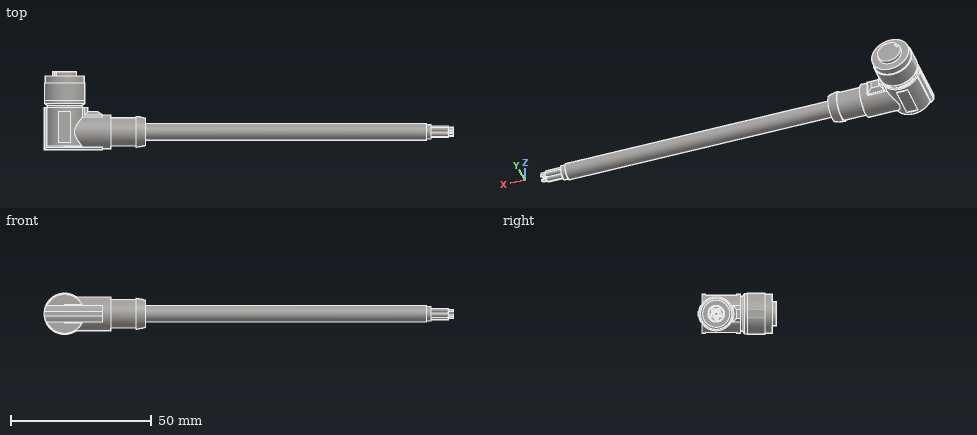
import cadquery as cq
import math


OVERALL_LENGTH = 146.2

NUT_RADIUS = 7.39
NUT_LIP_RADIUS = 7.0
NUT_RING_RADIUS = 7.24
NUT_FLAT_WIDTH = 3.0
NECK_RADIUS = 6.3
NECK_Y = 8.8
NUT_CONE_Y = 9.5
NUT_RING_Y = 10.1
NUT_GRIP_Y = 11.3
NUT_LIP_Y = 17.4
NUT_FACE_Y = 20.0
INSERT_RADIUS = 4.31
INSERT_FACE_Y = 21.5
KEYWAY_WIDTH = 1.3
KEYWAY_DEPTH = 0.9
KEYWAY_ANGLE = 140

BODY_RADIUS = 7.0
BODY_FRONT_Y = -5.1
ARM_RADIUS = 6.07
ARM_END_X = 16.5
LABEL_WIDTH = 4.2
LABEL_START_Y = -3.8
LABEL_END_Y = 7.3

BAND_WIDTH = 5.8
BAND_RISE = 0.1
BAND_END_X = 13.6
RIB_WIDTH = 1.5
RIB_OUTER_X = -NUT_RADIUS
RIB_OUTER_Y = -6.5
BAND_SIDE_RADIUS = NUT_RADIUS - BAND_RISE
BAND_FRONT_RADIUS = -RIB_OUTER_Y - BAND_RISE

WEB_ARM_Y = 7.3
WEB_BARREL_X = 8.3
WEB_BEVEL = 1.3
WEB_SLOPE_LENGTH = 1.9

SLEEVE_RADIUS = 5.1
COLLAR_RADIUS = 5.5
COLLAR_BULGE = 0.1
COLLAR_START_X = 25.5
COLLAR_END_X = 29.0
COLLAR_END_RADIUS = 4.8
CABLE_RADIUS = 3.0
CABLE_END_X = 129.1
INNER_SHEATH_RADIUS = 2.6
INNER_SHEATH_END_X = 130.9
WIRE_COUNT = 5
WIRE_RADIUS = 0.79
WIRE_CIRCLE_RADIUS = 1.37
WIRE_START_ANGLE = 57
WIRE_END_X = 137.0
STRAND_RADIUS = 0.37
STRAND_END_X = OVERALL_LENGTH - NUT_RADIUS


def cylinder_y(radius, start, end):
    return cq.Workplane("XZ", origin=(0, start, 0)).circle(radius).extrude(start - end)


def cylinder_x(radius, start, end, y=0.0, z=0.0):
    return cq.Workplane("YZ", origin=(start, y, z)).circle(radius).extrude(end - start)


def block(x_range, y_range, z_range):
    """Box given by its lower and upper limits on each axis."""
    sizes = [high - low for low, high in (x_range, y_range, z_range)]
    corner = (x_range[0], y_range[0], z_range[0])
    return cq.Workplane("XY", origin=corner).box(*sizes, centered=False)


def centred(width):
    return (-width / 2, width / 2)


def flat_distance(radius, width):
    """Distance from the axis to a flat of the given width cut on a cylinder."""
    return math.sqrt(radius**2 - (width / 2) ** 2)


def make_nut():
    profile = [
        (0, NECK_Y),
        (NECK_RADIUS, NECK_Y),
        (NECK_RADIUS, NUT_CONE_Y),
        (NUT_RING_RADIUS, NUT_RING_Y),
        (NUT_RING_RADIUS, NUT_GRIP_Y),
        (NUT_RADIUS, NUT_GRIP_Y),
        (NUT_RADIUS, NUT_LIP_Y),
        (NUT_LIP_RADIUS, NUT_LIP_Y),
        (NUT_LIP_RADIUS, NUT_FACE_Y),
        (0, NUT_FACE_Y),
    ]
    nut = cq.Workplane("XY").polyline(profile).close().revolve(360, (0, 0, 0), (0, 1, 0))
    flat_x = flat_distance(NUT_RADIUS, NUT_FLAT_WIDTH)
    for x_range in ((-NUT_RADIUS, -flat_x), (flat_x, NUT_RADIUS)):
        nut = nut.cut(block(x_range, (NUT_GRIP_Y, NUT_LIP_Y), centred(NUT_FLAT_WIDTH)))
    return nut


def make_insert():
    insert = cylinder_y(INSERT_RADIUS, NUT_FACE_Y, INSERT_FACE_Y)
    keyway = block(
        (INSERT_RADIUS - KEYWAY_DEPTH, INSERT_RADIUS),
        (NUT_FACE_Y, INSERT_FACE_Y),
        centred(KEYWAY_WIDTH),
    )
    return insert.cut(keyway.rotate((0, 0, 0), (0, 1, 0), -KEYWAY_ANGLE))


def make_elbow():
    barrel = cylinder_y(BODY_RADIUS, BODY_FRONT_Y, NECK_Y)
    label_z = flat_distance(BODY_RADIUS, LABEL_WIDTH)
    for z_range in ((label_z, BODY_RADIUS), (-BODY_RADIUS, -label_z)):
        barrel = barrel.cut(block(centred(LABEL_WIDTH), (LABEL_START_Y, LABEL_END_Y), z_range))
    return barrel.union(cylinder_x(ARM_RADIUS, 0, ARM_END_X))


def make_band():
    """Raised band down the back of the barrel and along the front of the arm, mitred at the corner."""
    side = cylinder_y(BAND_SIDE_RADIUS, -BAND_FRONT_RADIUS, NECK_Y)
    arm_sweep = cylinder_x(BAND_FRONT_RADIUS, -NUT_RADIUS, 0)
    barrel_sweep = block((-NUT_RADIUS, 0), (0, NECK_Y), centred(BAND_WIDTH))
    side = side.intersect(arm_sweep.union(barrel_sweep))
    front = cylinder_x(BAND_FRONT_RADIUS, 0, BAND_END_X)
    limits = block(
        (-NUT_RADIUS, BAND_END_X),
        (-BAND_FRONT_RADIUS, NECK_Y),
        centred(BAND_WIDTH),
    )
    band = side.union(front).intersect(limits)
    side_rib = block((RIB_OUTER_X, 0), (RIB_OUTER_Y, NECK_Y), centred(RIB_WIDTH))
    front_rib = block((0, BAND_END_X), (RIB_OUTER_Y, 0), centred(RIB_WIDTH))
    return band.union(side_rib).union(front_rib)


def bevelled_bar(height, length):
    """Bar of the band's width along +X, rising to +Y, with both upper edges bevelled."""
    half_width = BAND_WIDTH / 2
    section = [
        (0, -half_width),
        (height - WEB_BEVEL, -half_width),
        (height, -half_width + WEB_BEVEL),
        (height, half_width - WEB_BEVEL),
        (height - WEB_BEVEL, half_width),
        (0, half_width),
    ]
    return cq.Workplane("YZ").polyline(section).close().extrude(length)


def make_web():
    """Bevelled web inside the elbow: one leg along the arm, sloped at its end, and one up the barrel."""
    arm_leg = bevelled_bar(WEB_ARM_Y, BAND_END_X)
    slope = (
        cq.Workplane("XY", origin=(0, 0, -BAND_WIDTH / 2))
        .polyline([
            (BAND_END_X, WEB_ARM_Y - WEB_BEVEL),
            (BAND_END_X, WEB_ARM_Y),
            (BAND_END_X - WEB_SLOPE_LENGTH, WEB_ARM_Y),
        ])
        .close()
        .extrude(BAND_WIDTH)
    )
    barrel_leg = bevelled_bar(WEB_BARREL_X, NECK_Y).rotate((0, 0, 0), (1, 1, 0), 180)
    return arm_leg.cut(slope).union(barrel_leg)


def make_strain_relief():
    sleeve = cylinder_x(SLEEVE_RADIUS, ARM_END_X, COLLAR_START_X)
    middle = (
        (COLLAR_START_X + COLLAR_END_X) / 2,
        (COLLAR_RADIUS + COLLAR_END_RADIUS) / 2 + COLLAR_BULGE,
    )
    collar = (
        cq.Workplane("XY")
        .moveTo(COLLAR_START_X, 0)
        .lineTo(COLLAR_START_X, COLLAR_RADIUS)
        .threePointArc(middle, (COLLAR_END_X, COLLAR_END_RADIUS))
        .lineTo(COLLAR_END_X, 0)
        .close()
        .revolve(360, (0, 0, 0), (1, 0, 0))
    )
    return sleeve.union(collar)


def make_cable():
    cable = cylinder_x(CABLE_RADIUS, COLLAR_END_X, CABLE_END_X)
    cable = cable.union(cylinder_x(INNER_SHEATH_RADIUS, CABLE_END_X, INNER_SHEATH_END_X))
    for index in range(WIRE_COUNT):
        angle = math.radians(WIRE_START_ANGLE + 360 * index / WIRE_COUNT)
        y = WIRE_CIRCLE_RADIUS * math.cos(angle)
        z = WIRE_CIRCLE_RADIUS * math.sin(angle)
        cable = cable.union(cylinder_x(WIRE_RADIUS, INNER_SHEATH_END_X, WIRE_END_X, y, z))
        cable = cable.union(cylinder_x(STRAND_RADIUS, WIRE_END_X, STRAND_END_X, y, z))
    return cable


result = (
    make_elbow()
    .union(make_band())
    .union(make_web())
    .union(make_nut())
    .union(make_insert())
    .union(make_strain_relief())
    .union(make_cable())
)